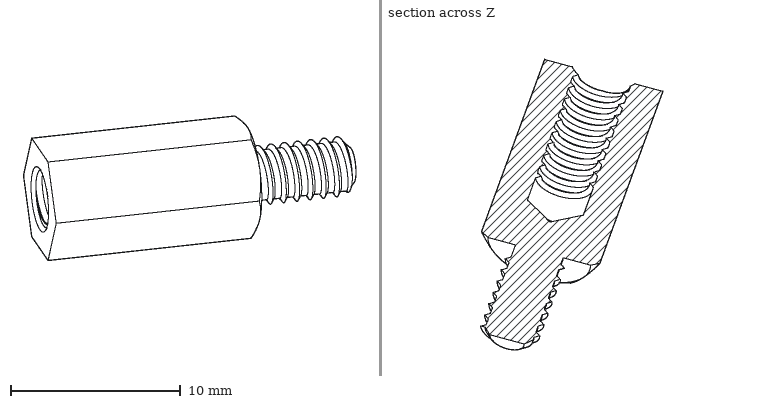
import cadquery as cq
import math

total_length = 19.05
body_length = 12.7
across_flats = 6.35
corner_chamfer_angle = 30.0

ridge_width = 0.42
ridge_height = 0.29
ridge_embed = 0.04

stud_diameter = 2.97
stud_tip_chamfer = 0.42
stud_runout = 0.65
stud_pitches = 6.5
stud_ridge_turns = 7

bore_diameter = 3.43
bore_depth = 9.52
drill_point_angle = 118.0
countersink_diameter = 3.89
countersink_depth = (countersink_diameter - bore_diameter) / 2
bore_ridge_turns = 10

across_corners = across_flats / math.cos(math.pi / 6)
stud_length = total_length - body_length
thread_pitch = (stud_length - stud_tip_chamfer - stud_runout) / stud_pitches


def revolve_about_y(points):
    """Solid of revolution about Y from (radius, y) points."""
    return cq.Workplane("XY").polyline(points).close().revolve(360, (0, 0), (0, 1))


def make_ridge(wall_radius, height, turns, start_y, start_angle, left_handed=False):
    """Helical V ridge along +Y on a cylindrical wall.

    A negative height points the ridge inward. The start angle turns from +X toward -Z.
    """
    outward = math.copysign(1, height)
    base_radius = wall_radius - outward * ridge_embed
    base_half_width = ridge_width / 2 * (1 + ridge_embed / abs(height))
    path = cq.Wire.makeHelix(thread_pitch, thread_pitch * turns, wall_radius, lefthand=left_handed)
    ridge = (
        cq.Workplane("XZ")
        .polyline([
            (base_radius, -base_half_width),
            (wall_radius + height, 0),
            (base_radius, base_half_width),
        ])
        .close()
        .sweep(cq.Workplane(path), isFrenet=True)
    )
    return (
        ridge.rotate((0, 0, 0), (0, 0, 1), start_angle)
        .rotate((0, 0, 0), (1, 0, 0), -90)
        .translate((0, start_y, 0))
    )


def slab(start_y, end_y):
    """Block as wide as the hex, spanning start_y to end_y."""
    return (
        cq.Workplane("XY")
        .box(across_corners, end_y - start_y, across_corners)
        .translate((0, (start_y + end_y) / 2, 0))
    )


def make_body():
    """Hex prism with its corners turned off at the stud end."""
    prism = (
        cq.Workplane("XZ")
        .polygon(6, across_corners)
        .extrude(-body_length)
    )
    face_radius = across_flats / 2
    corner_radius = across_corners / 2
    corner_drop = (corner_radius - face_radius) * math.tan(math.radians(corner_chamfer_angle))
    turned_blank = revolve_about_y([
        (0, 0),
        (corner_radius, 0),
        (corner_radius, body_length - corner_drop),
        (face_radius, body_length),
        (0, body_length),
    ])
    return prism.intersect(turned_blank)


def make_stud():
    """Chamfered cylinder with a ridge that is cut flat where the tip chamfer begins."""
    radius = stud_diameter / 2
    chamfer_start = total_length - stud_tip_chamfer
    core = revolve_about_y([
        (0, body_length),
        (radius, body_length),
        (radius, chamfer_start),
        (radius - stud_tip_chamfer, total_length),
        (0, total_length),
    ])
    ridge = make_ridge(
        wall_radius=radius,
        height=ridge_height,
        turns=stud_ridge_turns,
        start_y=body_length + stud_runout,
        start_angle=180,
    )
    return core.union(ridge.intersect(slab(body_length, chamfer_start)))


def make_bore():
    """Countersunk drilled hole, to be cut from the body."""
    radius = bore_diameter / 2
    point_depth = radius / math.tan(math.radians(drill_point_angle / 2))
    return revolve_about_y([
        (0, 0),
        (countersink_diameter / 2, 0),
        (radius, countersink_depth),
        (radius, bore_depth),
        (0, bore_depth + point_depth),
    ])


def make_bore_ridge():
    """Left-handed inward ridge, cut flat at the bottom of the countersink.

    It starts at +Z, half a turn before its middle reaches the cut on the -Z side.
    """
    start_y = countersink_depth - thread_pitch / 2
    ridge = make_ridge(
        wall_radius=bore_diameter / 2,
        height=-ridge_height,
        turns=bore_ridge_turns,
        start_y=start_y,
        start_angle=-90,
        left_handed=True,
    )
    return ridge.intersect(slab(countersink_depth, bore_depth))


result = make_body().union(make_stud()).cut(make_bore()).union(make_bore_ridge()).solids()